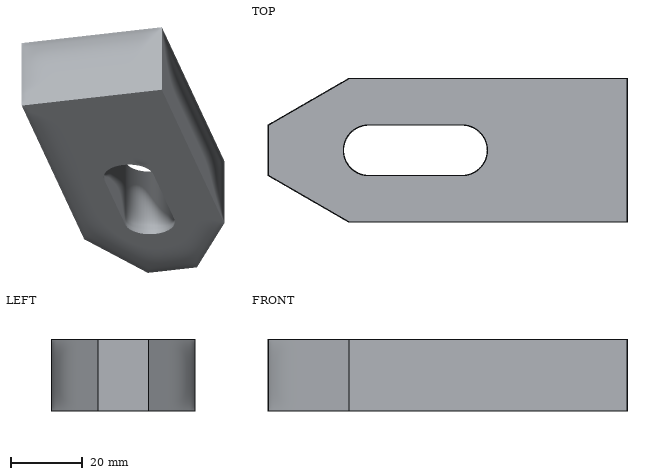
import cadquery as cq
import math

length = 100.0
width = 40.0
thickness = 20.0

nose_width = 14.0
taper_angle = 30.0
taper_length = (width - nose_width) / 2 / math.tan(math.radians(taper_angle))

slot_start = 21.0
slot_length = 40.0
slot_width = 14.0


def clamp_bar():
    """Flat bar whose front end narrows symmetrically to a blunt nose."""
    return (
        cq.Workplane("XY")
        .moveTo(0, -nose_width / 2)
        .lineTo(taper_length, -width / 2)
        .lineTo(length, -width / 2)
        .lineTo(length, width / 2)
        .lineTo(taper_length, width / 2)
        .lineTo(0, nose_width / 2)
        .close()
        .extrude(thickness)
    )


def bolt_slot():
    """Solid that cuts the slot through the full thickness."""
    return (
        cq.Workplane("XY")
        .center(slot_start + slot_length / 2, 0)
        .slot2D(slot_length, slot_width)
        .extrude(thickness)
    )


result = clamp_bar().cut(bolt_slot())